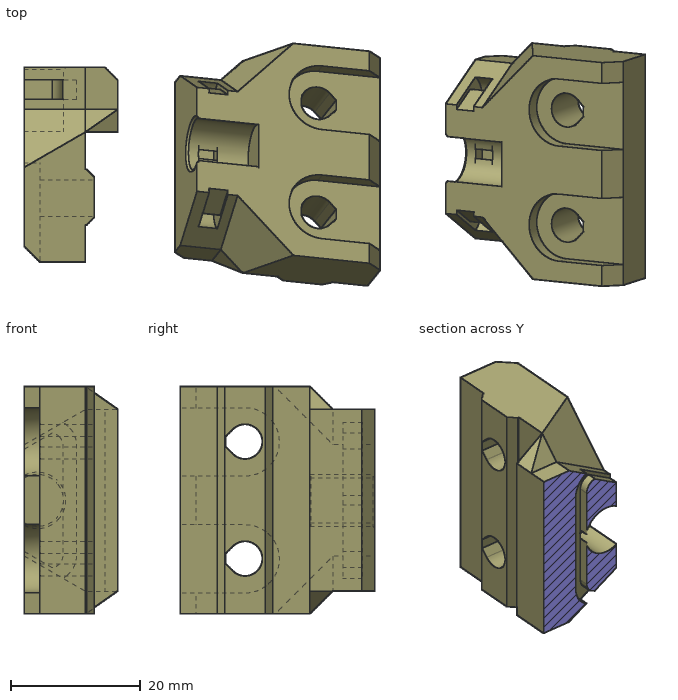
import cadquery as cq
import math

LENGTH = 30.0
WIDTH = 35.0
HALF_WIDTH = WIDTH / 2
BODY_THICKNESS = 9.4
LIP_THICKNESS = 14.4

HEAD_HALF_WIDTH = 14.0
HEAD_START_Y = 23.5
HEAD_SLOPE = math.radians(30)
FRONT_SHRINK = BODY_THICKNESS * math.tan(HEAD_SLOPE)

LIP_START_Y = 20.0
LIP_END_CHAMFER = 2.0
FOOT_CHAMFER = 2.4

RAIL_WIDTH = 8.6
RAIL_HEIGHT = 1.4
RAIL_STEP = 0.2
RAIL_BEVEL = RAIL_HEIGHT - RAIL_STEP

SCREW_Y = 10.0
SCREW_SPACING = 18.0
SEAT_RADIUS = 5.25
SEAT_DEPTH = 2.4
HOLE_RADIUS = 2.65
HOLE_FLAT_DISTANCE = 2.95

BORE_RADIUS = 4.0
BORE_AXIS_X = 2.0
BORE_START_Y = 20.1
BORE_CHAMFER = 0.35

TIE_START_Y = 25.05
TIE_WIDTH = 3.0
TIE_GAP = 2.1
TIE_BEND_RADIUS = 2.0
TIE_BEND_X = 3.93
TIE_BEND_Z = 8.4
TIE_GROOVE_DEPTH = 0.6


def xz_prism(outline, start_y, length):
    """Extrude a closed XZ outline along +Y."""
    return outline.extrude(-length).translate((0, start_y, 0))


def side_outline(shrink):
    """Symmetric (y, z) outline whose sloping shoulders are moved in by shrink."""
    half = [
        (0, HALF_WIDTH),
        (HEAD_START_Y - (HALF_WIDTH - HEAD_HALF_WIDTH) - shrink, HALF_WIDTH),
        (HEAD_START_Y, HEAD_HALF_WIDTH - shrink),
        (LENGTH, HEAD_HALF_WIDTH - shrink),
    ]
    return half + [(y, -z) for y, z in reversed(half)]


def body():
    block = (
        cq.Workplane("YZ")
        .polyline(side_outline(FRONT_SHRINK)).close()
        .workplane(offset=BODY_THICKNESS)
        .polyline(side_outline(0)).close()
        .loft(ruled=True)
    )
    return block.edges("|Z and <X and <Y").chamfer(FOOT_CHAMFER)


def lip():
    """Hook that tapers to the head width at its back face, within the body outline."""
    taper = xz_prism(
        cq.Workplane("XZ").polyline([
            (BODY_THICKNESS, HALF_WIDTH),
            (LIP_THICKNESS, HEAD_HALF_WIDTH),
            (LIP_THICKNESS, -HEAD_HALF_WIDTH),
            (BODY_THICKNESS, -HALF_WIDTH),
        ]).close(),
        LIP_START_Y,
        LENGTH - LIP_START_Y,
    )
    plan = cq.Workplane("YZ").polyline(side_outline(0)).close().extrude(LIP_THICKNESS)
    return taper.intersect(plan).edges("|Z and >X and >Y").chamfer(LIP_END_CHAMFER)


def rail():
    half_base = RAIL_WIDTH / 2
    half_top = half_base - RAIL_BEVEL
    step_x = BODY_THICKNESS + RAIL_STEP
    top_x = BODY_THICKNESS + RAIL_HEIGHT
    return (
        cq.Workplane("XY").workplane(offset=-HALF_WIDTH)
        .polyline([
            (BODY_THICKNESS, SCREW_Y - half_base),
            (step_x, SCREW_Y - half_base),
            (top_x, SCREW_Y - half_top),
            (top_x, SCREW_Y + half_top),
            (step_x, SCREW_Y + half_base),
            (BODY_THICKNESS, SCREW_Y + half_base),
        ]).close()
        .extrude(WIDTH)
    )


def screw_seat(z):
    """U-shaped pocket open at Y = 0 with a flat-tipped teardrop hole through it."""
    seat = (
        cq.Workplane("YZ")
        .moveTo(0, z - SEAT_RADIUS)
        .lineTo(SCREW_Y, z - SEAT_RADIUS)
        .threePointArc((SCREW_Y + SEAT_RADIUS, z), (SCREW_Y, z + SEAT_RADIUS))
        .lineTo(0, z + SEAT_RADIUS)
        .close()
        .extrude(SEAT_DEPTH)
    )
    tangent = HOLE_RADIUS * math.sqrt(0.5)
    flat_half = 2 * tangent - HOLE_FLAT_DISTANCE
    hole = (
        cq.Workplane("YZ")
        .moveTo(SCREW_Y - tangent, z + tangent)
        .threePointArc((SCREW_Y + HOLE_RADIUS, z), (SCREW_Y - tangent, z - tangent))
        .lineTo(SCREW_Y - HOLE_FLAT_DISTANCE, z - flat_half)
        .lineTo(SCREW_Y - HOLE_FLAT_DISTANCE, z + flat_half)
        .close()
        .extrude(LIP_THICKNESS)
    )
    return seat.union(hole)


def cable_bore():
    bore = xz_prism(
        cq.Workplane("XZ").center(BORE_AXIS_X, 0).circle(BORE_RADIUS),
        BORE_START_Y,
        LENGTH - BORE_START_Y,
    )
    mouth = (
        cq.Workplane("XZ", origin=(BORE_AXIS_X, LENGTH, 0))
        .circle(BORE_RADIUS + BORE_CHAMFER)
        .workplane(offset=BORE_CHAMFER)
        .circle(BORE_RADIUS)
        .loft()
    )
    return bore.union(mouth)


def tie_tunnel():
    """Straight run along Z behind the bore with a quarter bend at each end."""
    outer_radius = TIE_BEND_RADIUS + TIE_GAP
    inner_x = TIE_BEND_X + TIE_BEND_RADIUS
    outer_x = TIE_BEND_X + outer_radius
    diagonal = math.sqrt(0.5)

    def bend_middle(radius, side):
        return (TIE_BEND_X + radius * diagonal, side * (TIE_BEND_Z + radius * diagonal))

    outline = (
        cq.Workplane("XZ")
        .moveTo(inner_x, -TIE_BEND_Z)
        .lineTo(inner_x, TIE_BEND_Z)
        .threePointArc(bend_middle(TIE_BEND_RADIUS, 1), (TIE_BEND_X, TIE_BEND_Z + TIE_BEND_RADIUS))
        .lineTo(TIE_BEND_X, TIE_BEND_Z + outer_radius)
        .threePointArc(bend_middle(outer_radius, 1), (outer_x, TIE_BEND_Z))
        .lineTo(outer_x, -TIE_BEND_Z)
        .threePointArc(bend_middle(outer_radius, -1), (TIE_BEND_X, -TIE_BEND_Z - outer_radius))
        .lineTo(TIE_BEND_X, -TIE_BEND_Z - TIE_BEND_RADIUS)
        .threePointArc(bend_middle(TIE_BEND_RADIUS, -1), (inner_x, -TIE_BEND_Z))
        .close()
    )
    return xz_prism(outline, TIE_START_Y, TIE_WIDTH)


def tie_groove():
    """Shallow groove down the upper head slope, ending where its floor meets the bend."""
    slope = math.tan(HEAD_SLOPE)
    slope_z = HEAD_HALF_WIDTH - FRONT_SHRINK
    floor_z = slope_z - TIE_GROOVE_DEPTH / math.cos(HEAD_SLOPE)

    floor_height = (floor_z + TIE_BEND_X * slope - TIE_BEND_Z) * math.cos(HEAD_SLOPE)
    half_chord = math.sqrt(TIE_BEND_RADIUS**2 - floor_height**2)
    end_x = TIE_BEND_X - floor_height * math.sin(HEAD_SLOPE) + half_chord * math.cos(HEAD_SLOPE)
    top_x = end_x - TIE_GROOVE_DEPTH * math.sin(HEAD_SLOPE)
    outline = cq.Workplane("XZ").polyline([
        (0, floor_z),
        (end_x, floor_z + end_x * slope),
        (top_x, slope_z + top_x * slope),
        (0, slope_z),
    ]).close()
    return xz_prism(outline, TIE_START_Y, TIE_WIDTH)


result = body().union(lip()).union(rail())
for side in (-1, 1):
    result = result.cut(screw_seat(side * SCREW_SPACING / 2))
result = result.cut(cable_bore()).cut(tie_tunnel())
upper_groove = tie_groove()
result = result.cut(upper_groove).cut(upper_groove.mirror("XY"))